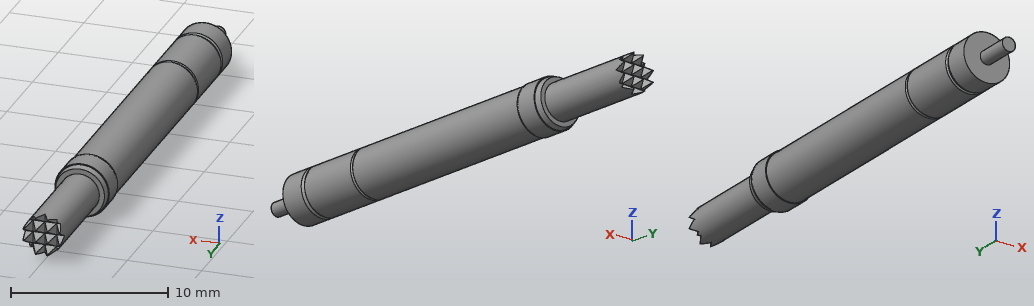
import cadquery as cq
import math

total_length = 34.5
pin_length = 2.52
plunger_length = 7.5
body_length = total_length - pin_length - plunger_length

pin_diameter = 1.0
body_diameter = 3.52
collar_diameter = 3.65
plunger_diameter = 2.62

nose_length = 0.45
nose_front_diameter = 3.3
collar_length = 1.62

groove_depth = 0.1
narrow_groove_start = 6.45
narrow_groove_width = 0.2
wide_groove_start = 1.75
wide_groove_width = 0.3
wide_groove_root = 0.2

serration_pitch = 0.8
serration_angle = 60.0
groove_offsets = (-1, 0, 1)

pin_end = -total_length / 2
body_rear = pin_end + pin_length
body_front = body_rear + body_length
tip_end = body_front + plunger_length
collar_front = body_front - nose_length


def rod(diameter, start, length):
    """Cylinder along +Y starting at the given station."""
    axis_start = cq.Vector(0, start, 0)
    return cq.Workplane(cq.Solid.makeCylinder(diameter / 2, length, axis_start, cq.Vector(0, 1, 0)))


def tapered_nose():
    """Shallow cone from the collar to the front face of the body."""
    rear_radius = body_diameter / 2
    front_radius = nose_front_diameter / 2
    rear_centre = cq.Vector(0, collar_front, 0)
    forward = cq.Vector(0, 1, 0)
    return cq.Workplane(cq.Solid.makeCone(rear_radius, front_radius, nose_length, rear_centre, forward))


def crimp_groove(start, width, root):
    """V-shaped ring to cut from the body; root is the distance of its deepest line from the start."""
    radius = body_diameter / 2
    return (
        cq.Workplane("XY")
        .moveTo(radius, start)
        .lineTo(radius - groove_depth, start + root)
        .lineTo(radius, start + width)
        .close()
        .revolve(360, (0, 0, 0), (0, 1, 0))
    )


def v_prism(profile):
    """Triangular prism along Z, long enough to cross the plunger."""
    return cq.Workplane("XY").polyline(profile).close().extrude(plunger_diameter, both=True).val()


def serration_cuts():
    """V grooves running along Z, one pitch apart, meeting in sharp crests at the tip."""
    half_width = serration_pitch / 2
    depth = half_width / math.tan(math.radians(serration_angle / 2))
    profile = [(-half_width, 0), (0, -depth), (half_width, 0)]
    return (
        cq.Workplane("XY")
        .pushPoints([(offset * serration_pitch, tip_end) for offset in groove_offsets])
        .eachpoint(lambda place: v_prism(profile).moved(place))
    )


body = rod(body_diameter, body_rear, body_length - nose_length)
body = body.cut(crimp_groove(body_rear + narrow_groove_start, narrow_groove_width, narrow_groove_width / 2))
body = body.cut(crimp_groove(body_rear + wide_groove_start, wide_groove_width, wide_groove_root))
body = body.union(tapered_nose())
body = body.union(rod(collar_diameter, collar_front - collar_length, collar_length))

plunger = rod(plunger_diameter, body_front, plunger_length)
for turn in (0, 90):
    plunger = plunger.cut(serration_cuts().rotate((0, 0, 0), (0, 1, 0), turn))

pin = rod(pin_diameter, pin_end, pin_length)

result = body.union(plunger).union(pin)